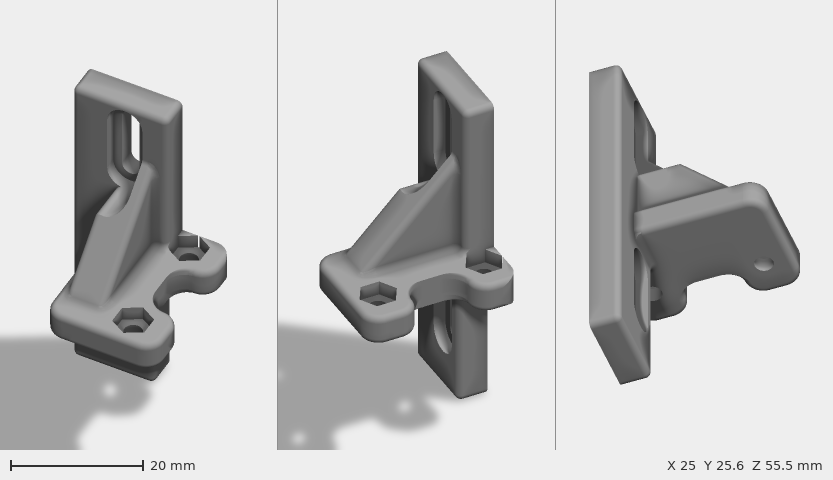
import cadquery as cq
import math


EDGE_RADIUS = 1.0

PLATE_HEIGHT = 55.5
PLATE_THICKNESS = 5.0
PLATE_FRONT = -PLATE_THICKNESS
PLATE_LOWER_WIDTH = 14.0

SHELF_LEFT = 6.0
SHELF_RIGHT = 25.0
SHELF_DEPTH = 25.62
SHELF_FRONT = -SHELF_DEPTH
SHELF_BOTTOM = 24.0
SHELF_THICKNESS = 5.0
SHELF_TOP = SHELF_BOTTOM + SHELF_THICKNESS
CORNER_RADIUS = 3.0

HOLE_DIAMETER = 3.0
HOLE_SPACING = 18.0
HOLE_EDGE_DISTANCE = 4.5
HOLE_X = 19.0
FRONT_HOLE_Y = SHELF_FRONT + HOLE_EDGE_DISTANCE
REAR_HOLE_Y = FRONT_HOLE_Y + HOLE_SPACING
NUT_ACROSS_FLATS = 5.5
NUT_ACROSS_CORNERS = NUT_ACROSS_FLATS / math.cos(math.pi / 6)
NUT_POCKET_DEPTH = 2.4

PLATE_UPPER_WIDTH = HOLE_X - NUT_ACROSS_FLATS / 2

NOTCH_WIDTH = 9.5
NOTCH_LEFT = HOLE_X
NOTCH_MIDDLE = (FRONT_HOLE_Y + REAR_HOLE_Y) / 2
NOTCH_REAR = NOTCH_MIDDLE + NOTCH_WIDTH / 2
NOTCH_FRONT = NOTCH_MIDDLE - NOTCH_WIDTH / 2

RIB_LEFT = 7.5
RIB_RIGHT = PLATE_LOWER_WIDTH
RIB_RISE = 16.4
RIB_PEAK = SHELF_TOP + RIB_RISE

SLOT_X = 9.0
LOWER_SLOT_Z = 14.5
SLOT_SPACING = 32.0
UPPER_SLOT_Z = LOWER_SLOT_Z + SLOT_SPACING
SLOT_WIDTH = 3.0
SLOT_LENGTH = 13.0
RECESS_WIDTH = 6.0
RECESS_LENGTH = SLOT_LENGTH + RECESS_WIDTH - SLOT_WIDTH
RECESS_DEPTH = 2.0
RECESS_RIGHT = SLOT_X + RECESS_WIDTH / 2

TOLERANCE = 0.01


def box(x_range, y_range, z_range):
    """Solid block spanning three coordinate ranges, each given as (low, high)."""
    low, high = zip(x_range, y_range, z_range)
    size = [top - bottom for bottom, top in zip(low, high)]
    return cq.Workplane("XY").box(*size, centered=False).translate(low)


def edges_within(body, x_range, y_range, z_range):
    """Edges of the body that lie entirely inside three coordinate ranges."""

    def inside(edge):
        bounds = edge.BoundingBox()
        spans = (
            (bounds.xmin, bounds.xmax, x_range),
            (bounds.ymin, bounds.ymax, y_range),
            (bounds.zmin, bounds.zmax, z_range),
        )
        return all(a > low - TOLERANCE and b < high + TOLERANCE for a, b, (low, high) in spans)

    return body.newObject([edge for edge in body.edges().vals() if inside(edge)])


def upright_slot(z, length, width, y_start, depth):
    """Slot-shaped prism that runs from y_start towards -Y."""
    return (
        cq.Workplane("XZ", origin=(SLOT_X, y_start, z))
        .slot2D(length, width, 90)
        .extrude(depth)
    )


def make_plate():
    plate = (
        cq.Workplane("XZ")
        .polyline([
            (0, 0),
            (PLATE_LOWER_WIDTH, 0),
            (PLATE_LOWER_WIDTH, SHELF_BOTTOM),
            (PLATE_UPPER_WIDTH, SHELF_BOTTOM),
            (PLATE_UPPER_WIDTH, PLATE_HEIGHT),
            (0, PLATE_HEIGHT),
        ])
        .close()
        .extrude(PLATE_THICKNESS)
    )
    corners = plate.edges("|Y").edges("<Z or >Z")
    front_rim = plate.faces("<Y").edges("|Z or <Z or >Z")
    return corners.add(front_rim).fillet(EDGE_RADIUS)


def make_shelf():
    """Shelf with round outer corners; the notch and the rear corner are still square."""
    shelf = (
        cq.Workplane("XY", origin=(0, 0, SHELF_BOTTOM))
        .polyline([
            (SHELF_LEFT, 0),
            (SHELF_RIGHT, 0),
            (SHELF_RIGHT, NOTCH_REAR),
            (NOTCH_LEFT, NOTCH_REAR),
            (NOTCH_LEFT, NOTCH_FRONT),
            (SHELF_RIGHT, NOTCH_FRONT),
            (SHELF_RIGHT, SHELF_FRONT),
            (SHELF_LEFT, SHELF_FRONT),
        ])
        .close()
        .extrude(SHELF_THICKNESS)
    )
    level = (SHELF_BOTTOM, SHELF_TOP)
    front_corners = edges_within(shelf, (SHELF_LEFT, SHELF_RIGHT), (SHELF_FRONT, SHELF_FRONT), level)
    prong_corners = edges_within(shelf, (SHELF_RIGHT, SHELF_RIGHT), (NOTCH_FRONT, NOTCH_REAR), level)
    return front_corners.add(prong_corners).edges("|Z").fillet(CORNER_RADIUS)


def make_rib():
    """Rib with the upper slot's recess running out through its left side."""
    rib = (
        cq.Workplane("YZ", origin=(RIB_LEFT, 0, 0))
        .polyline([
            (PLATE_FRONT, SHELF_TOP),
            (PLATE_FRONT, RIB_PEAK),
            (PLATE_FRONT - RIB_RISE, SHELF_TOP),
        ])
        .close()
        .extrude(RIB_RIGHT - RIB_LEFT)
        .cut(upright_slot(UPPER_SLOT_Z, RECESS_LENGTH, RECESS_WIDTH, PLATE_FRONT, RIB_RISE))
    )
    return rib.faces("<X or >X").edges("not(<Z or >Y)").fillet(EDGE_RADIUS)


def blend_rib_into_shelf(body):
    rib_y_range = (PLATE_FRONT - RIB_RISE, PLATE_FRONT)
    foot = edges_within(body, (RIB_LEFT, RIB_RIGHT), rib_y_range, (SHELF_TOP, SHELF_TOP))
    return foot.fillet(EDGE_RADIUS)


def round_shelf_rims(body):
    """Round the upper and lower rims; each chain of tangent edges follows its first edge."""
    rims = body.newObject([])
    for z in (SHELF_BOTTOM, SHELF_TOP):
        level = (z, z)
        rims.add(edges_within(body, (SHELF_LEFT, SHELF_RIGHT), (SHELF_FRONT, SHELF_FRONT), level))
        rims.add(edges_within(body, (SHELF_RIGHT, SHELF_RIGHT), (NOTCH_REAR, 0), level))
    return rims.fillet(EDGE_RADIUS)


def blend_plate_above_shelf(body):
    shelf_line = edges_within(
        body, (RIB_RIGHT, PLATE_UPPER_WIDTH), (PLATE_FRONT, 0), (SHELF_TOP, SHELF_TOP))
    rib_outline = edges_within(
        body, (RECESS_RIGHT, RIB_RIGHT), (PLATE_FRONT, PLATE_FRONT), (SHELF_TOP, RIB_PEAK))
    blended = shelf_line.add(rib_outline).fillet(EDGE_RADIUS)
    kept = box(
        (RECESS_RIGHT, PLATE_UPPER_WIDTH + EDGE_RADIUS),
        (PLATE_FRONT - EDGE_RADIUS, REAR_HOLE_Y),
        (SHELF_TOP, RIB_PEAK + EDGE_RADIUS),
    )
    return body.union(blended.intersect(kept))


def make_blend_below_shelf():
    """Concave blend between the shelf's underside and the lower plate."""
    reach = PLATE_LOWER_WIDTH + 2 * EDGE_RADIUS
    blend_front = PLATE_FRONT - EDGE_RADIUS
    blend_bottom = SHELF_BOTTOM - EDGE_RADIUS
    column = (
        box((0, PLATE_LOWER_WIDTH), (PLATE_FRONT, 0), (0, SHELF_BOTTOM))
        .edges("|Z and >X and <Y")
        .fillet(EDGE_RADIUS)
    )
    slab = box((0, reach), (blend_front - EDGE_RADIUS, 0), (SHELF_BOTTOM, SHELF_TOP))
    body = column.union(slab)
    seam = edges_within(body, (0, PLATE_LOWER_WIDTH), (PLATE_FRONT, 0), (SHELF_BOTTOM, SHELF_BOTTOM))
    body = seam.edges(">X or <Y").fillet(EDGE_RADIUS)
    kept = (
        cq.Workplane("XZ")
        .polyline([
            (SHELF_LEFT, SHELF_BOTTOM + EDGE_RADIUS),
            (SHELF_LEFT + EDGE_RADIUS, blend_bottom),
            (reach, blend_bottom),
            (reach, SHELF_BOTTOM + EDGE_RADIUS),
        ])
        .close()
        .extrude(-blend_front)
    )
    return body.intersect(kept)


def make_notch_corner():
    """Filling of the notch's rear inner corner.

    Its hollow face touches the notch's flat wall along one upright line. Near the top
    and bottom it widens to meet the rounded rim of the prong.
    """
    tangent_y = NOTCH_REAR - CORNER_RADIUS

    def hollow_radius(inset):
        return ((CORNER_RADIUS + inset) ** 2 + CORNER_RADIUS ** 2) / (2 * CORNER_RADIUS)

    filling = box(
        (NOTCH_LEFT, NOTCH_LEFT + CORNER_RADIUS),
        (tangent_y, NOTCH_REAR + EDGE_RADIUS),
        (SHELF_BOTTOM, SHELF_TOP),
    )
    hollow = (
        cq.Workplane("XY", origin=(NOTCH_LEFT + CORNER_RADIUS, tangent_y, SHELF_BOTTOM))
        .circle(CORNER_RADIUS)
        .extrude(SHELF_THICKNESS)
    )
    filling = filling.cut(hollow)
    steps = 3
    wires = []
    for step in range(steps + 1):
        angle = math.pi / 2 * step / steps
        radius = hollow_radius(EDGE_RADIUS * (1 - math.cos(angle)))
        z = SHELF_TOP - EDGE_RADIUS * (1 - math.sin(angle))
        centre = cq.Vector(NOTCH_LEFT + radius, tangent_y, z)
        wires.append(cq.Wire.makeCircle(radius, centre, cq.Vector(0, 0, 1)))
    flare = cq.Workplane(cq.Solid.makeLoft(wires))
    shelf_middle = (0, 0, (SHELF_BOTTOM + SHELF_TOP) / 2)
    return filling.cut(flare).cut(flare.mirror("XY", shelf_middle))


def make_rear_corner_cutter():
    """Waste outside the round upright corner at the shelf's right rear."""
    corner = box((SHELF_RIGHT - CORNER_RADIUS, SHELF_RIGHT), (-CORNER_RADIUS, 0), (SHELF_BOTTOM, SHELF_TOP))
    rounding = (
        cq.Workplane("XY", origin=(SHELF_RIGHT - CORNER_RADIUS, -CORNER_RADIUS, SHELF_BOTTOM))
        .circle(CORNER_RADIUS)
        .extrude(SHELF_THICKNESS)
    )
    return corner.cut(rounding)


def make_screw_cutter(y):
    hole = (
        cq.Workplane("XY", origin=(HOLE_X, y, SHELF_BOTTOM))
        .circle(HOLE_DIAMETER / 2)
        .extrude(SHELF_THICKNESS)
    )
    pocket = (
        cq.Workplane("XY", origin=(HOLE_X, y, SHELF_TOP - NUT_POCKET_DEPTH))
        .transformed(rotate=(0, 0, 90))
        .polygon(6, NUT_ACROSS_CORNERS)
        .extrude(NUT_POCKET_DEPTH + EDGE_RADIUS)
    )
    return hole.union(pocket)


def make_slot_cutter(z):
    slot = upright_slot(z, SLOT_LENGTH, SLOT_WIDTH, 0, PLATE_THICKNESS)
    recess_floor = PLATE_FRONT + RECESS_DEPTH
    return slot.union(upright_slot(z, RECESS_LENGTH, RECESS_WIDTH, recess_floor, RECESS_DEPTH))


def make_bracket():
    bracket = make_plate().union(make_shelf()).union(make_rib())
    bracket = blend_rib_into_shelf(bracket)
    bracket = round_shelf_rims(bracket)
    bracket = blend_plate_above_shelf(bracket)
    bracket = bracket.union(make_blend_below_shelf())

    notch_corner = make_notch_corner()
    bracket = bracket.union(notch_corner)
    bracket = bracket.union(notch_corner.mirror("XZ", (0, NOTCH_MIDDLE, 0)))
    bracket = bracket.cut(make_rear_corner_cutter())

    for y in (FRONT_HOLE_Y, REAR_HOLE_Y):
        bracket = bracket.cut(make_screw_cutter(y))
    for z in (LOWER_SLOT_Z, UPPER_SLOT_Z):
        bracket = bracket.cut(make_slot_cutter(z))
    return bracket


result = make_bracket()